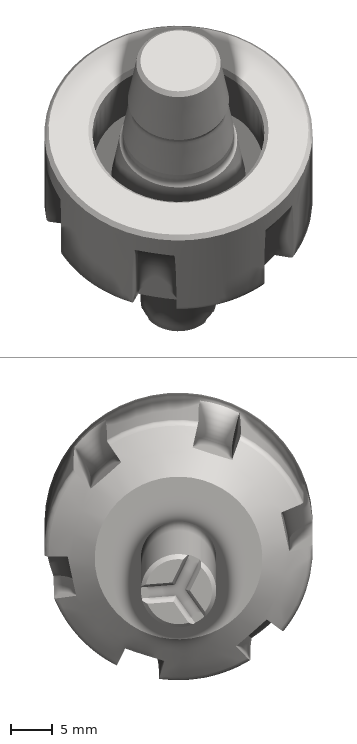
import cadquery as cq
import math

nut_radius = 16.0
nut_height = 17.88
nut_nose_radius = 10.0
nut_nose_slope = math.radians(30)
nut_edge_fillet = 1.0
nut_chamfer = 0.5

thread_radius = 20.5 / 2
thread_chamfer = 0.5
thread_depth = 7.5
relief_radius = 22.55 / 2
relief_depth = 9.45
relief_floor_z = nut_height - relief_depth

slot_count = 6
slot_first_angle = -97.3
slot_floor_radius = 13.0
slot_floor_half_width = 2.47
slot_draft = math.radians(4)
slot_arc_start_z = 8.05
slot_top_z = 14.5
slot_cutter_radius = 18.0

collet_slope = math.radians(8)
collet_base_radius = 8.0
collet_cone_start_z = 9.0
collet_top_z = 31.79
collet_tip_radius = 5.03
collet_tip_chamfer = 0.5
groove_top_z = 24.1
groove_bottom_z = 15.95
groove_neck_top_z = 23.45
groove_neck_top_radius = 5.85
groove_cone_end_z = 17.9
groove_cylinder_end_z = 16.8
groove_fillet = 1.25

pin_radius = 4.5
pin_bottom_z = -16.62
pin_chamfer = 0.5
end_groove_count = 3
end_groove_first_angle = -90
end_groove_depth = 0.87
end_groove_top_half_width = 0.68
end_groove_flank_slope = math.radians(30)


def cone_radius(z, known_radius, known_z):
    """Radius at height z of an upward narrowing collet cone."""
    return known_radius + (known_z - z) * math.tan(collet_slope)


def make_slot_cutter():
    """Slot cutter along +X: a flat floor that curves outward at the top, with drafted side walls."""
    depth = nut_radius - slot_floor_radius
    rise = slot_top_z - slot_arc_start_z
    arc_radius = (depth**2 + rise**2) / (2 * depth)
    cutter_depth = slot_cutter_radius - slot_floor_radius
    half_width_outside = slot_floor_half_width + cutter_depth * math.tan(slot_draft)
    section = [
        (slot_floor_radius, -slot_floor_half_width),
        (slot_cutter_radius, -half_width_outside),
        (slot_cutter_radius, half_width_outside),
        (slot_floor_radius, slot_floor_half_width),
    ]
    straight = cq.Workplane("XY").polyline(section).close().extrude(slot_arc_start_z)
    pivot_x = slot_floor_radius + arc_radius
    curved = (
        cq.Workplane("XY", origin=(0, 0, slot_arc_start_z))
        .polyline(section)
        .close()
        .revolve(90, (pivot_x, 0, 0), (pivot_x, 1, 0))
    )
    return straight.union(curved)


def make_nut():
    """Round nut with a conical nose, a relieved thread bore, a pin hole and wrench slots."""
    shoulder_z = (nut_radius - nut_nose_radius) * math.tan(nut_nose_slope)
    body = (
        cq.Workplane("XZ")
        .polyline(
            [
                (0, 0),
                (nut_nose_radius, 0),
                (nut_radius, shoulder_z),
                (nut_radius, nut_height),
                (0, nut_height),
            ]
        )
        .close()
        .revolve(360, (0, 0, 0), (0, 1, 0))
    )
    body = body.edges("%CIRCLE exc (>Z or <Z)").fillet(nut_edge_fillet)
    body = body.faces(">Z").chamfer(nut_chamfer)
    bore = (
        cq.Workplane("XZ")
        .polyline(
            [
                (0, relief_floor_z),
                (relief_radius, relief_floor_z),
                (relief_radius, nut_height - thread_depth),
                (thread_radius, nut_height - thread_depth),
                (thread_radius, nut_height - thread_chamfer),
                (thread_radius + thread_chamfer, nut_height),
                (0, nut_height),
            ]
        )
        .close()
        .revolve(360, (0, 0, 0), (0, 1, 0))
    )
    body = body.cut(bore).cut(cq.Workplane("XY").circle(pin_radius).extrude(nut_height))
    for index in range(slot_count):
        angle = slot_first_angle + index * 360 / slot_count
        body = body.cut(make_slot_cutter().rotate((0, 0, 0), (0, 0, 1), angle))
    return body


def make_collet():
    """Tapered sleeve standing on the nut's inner floor, with a wide neck groove between its two cones."""
    tip_z = collet_top_z - collet_tip_chamfer
    neck_radius = cone_radius(groove_cone_end_z, groove_neck_top_radius, groove_neck_top_z)
    return (
        cq.Workplane("XZ")
        .moveTo(pin_radius, relief_floor_z)
        .lineTo(collet_base_radius, relief_floor_z)
        .lineTo(collet_base_radius, collet_cone_start_z)
        .lineTo(cone_radius(groove_bottom_z, collet_base_radius, collet_cone_start_z), groove_bottom_z)
        .radiusArc((neck_radius, groove_cylinder_end_z), groove_fillet)
        .lineTo(neck_radius, groove_cone_end_z)
        .lineTo(groove_neck_top_radius, groove_neck_top_z)
        .radiusArc((cone_radius(groove_top_z, collet_tip_radius, tip_z), groove_top_z), groove_fillet)
        .lineTo(collet_tip_radius, tip_z)
        .lineTo(collet_tip_radius - collet_tip_chamfer, collet_top_z)
        .lineTo(pin_radius, collet_top_z)
        .close()
        .revolve(360, (0, 0, 0), (0, 1, 0))
    )


def make_end_groove_cutter():
    """Radial groove along +X under the pin, wider at the pin's end face."""
    bottom_half_width = end_groove_top_half_width + end_groove_depth * math.tan(end_groove_flank_slope)
    return (
        cq.Workplane("YZ", origin=(0, 0, pin_bottom_z))
        .polyline(
            [
                (-bottom_half_width, 0),
                (bottom_half_width, 0),
                (end_groove_top_half_width, end_groove_depth),
                (-end_groove_top_half_width, end_groove_depth),
            ]
        )
        .close()
        .extrude(2 * pin_radius)
    )


def make_pin():
    """Straight pin, flush with the collet's tip, with radial grooves across its lower end."""
    body = (
        cq.Workplane("XY", origin=(0, 0, pin_bottom_z))
        .circle(pin_radius)
        .extrude(collet_top_z - pin_bottom_z)
        .faces("<Z")
        .chamfer(pin_chamfer)
    )
    for index in range(end_groove_count):
        angle = end_groove_first_angle + index * 360 / end_groove_count
        body = body.cut(make_end_groove_cutter().rotate((0, 0, 0), (0, 0, 1), angle))
    return body


nut = make_nut()
collet = make_collet()
pin = make_pin()
result = cq.Compound.makeCompound([nut.val(), collet.val(), pin.val()])